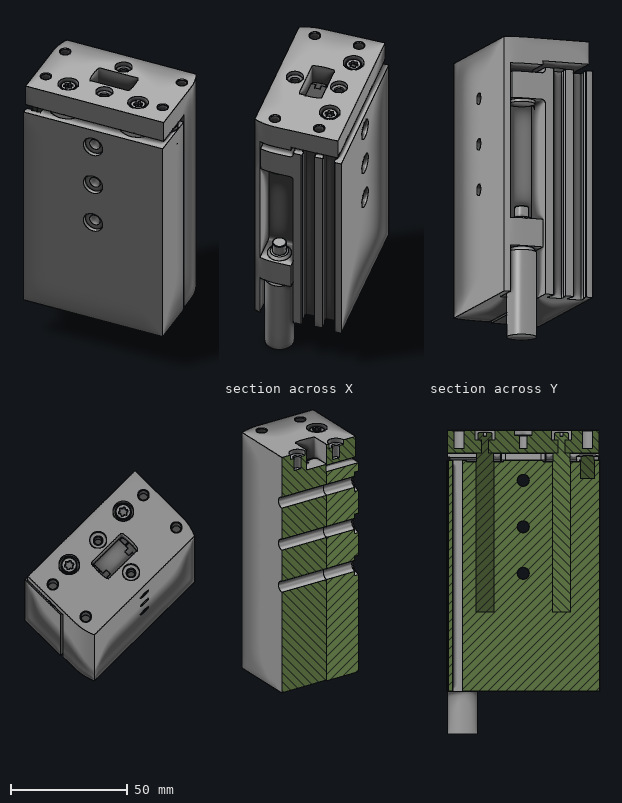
import cadquery as cq
import math

TOP = 130.8
HOUSING_BOTTOM = 18.3
HOUSING_TOP = 118.0
SLIDE_BOTTOM = 18.7
END_PLATE_THICKNESS = 10.0
END_PLATE_BOTTOM = TOP - END_PLATE_THICKNESS

HOUSING_HALF_WIDTH = 33.0
HOUSING_DEPTH = 21.9

SLOT_FRONTS = (3.3, 12.4)
SLOT_MOUTH = 5.4
SLOT_DEPTH = 6.8
SLOT_LIP = 2.6
SLOT_UNDERCUT = 0.5
SLOT_CHAMFER = 0.4
MIDDLE_FIN_INSET = 0.7

MOUNT_HOLE_DIAMETER = 5.0
MOUNT_SINK_DIAMETER = 9.0
MOUNT_SINK_DEPTH = 2.0
MOUNT_HOLE_PITCH = 20.0
TOP_MOUNT_HOLE_Z = 109.3
MOUNT_HOLE_COUNT = 3
MOUNT_HOLE_CENTRES = [(0, TOP_MOUNT_HOLE_Z - i * MOUNT_HOLE_PITCH) for i in range(MOUNT_HOLE_COUNT)]

SLIDE_HALF_WIDTH = 32.7
SLIDE_BACK = 40.0
BACK_HALF_WIDTH = 30.6
SIDE_CURVE_START = 30.2
END_PLATE_FRONT = 1.6
WEB_FRONT = 22.9
BACK_PLATE_FRONT = 37.3
POCKET_FLOOR_X = -19.0
POCKET_FILLET = 2.1
POCKET_TOP = 119.2
DAMPER_LUG_TOP = 51.2
DAMPER_LUG_BOTTOM = 39.0

RAIL_FRONT = 16.7
RAIL_BACK = 27.0
RAIL_END_HALF_WIDTH = 9.3
RAIL_BULGE_HALF_WIDTH = 9.8
RAIL_CORE_HALF_WIDTH = 7.7
RAIL_CORE_RISE = 0.7
RAIL_NOTCH_INNER_X = 5.6
RAIL_NOTCH_FRONT = 22.4
RAIL_NOTCH_BACK = 24.9
RAIL_SEAM_Y = 20.5
RAIL_SEAM_WIDTH = 0.5
RAIL_SEAM_DEPTH = 0.4
RAIL_SIDE_SETBACK = 0.4
RAIL_CORNER_RADIUS = 0.9

CORNER_HOLE_X = 27.6
HOLE_ROW_FRONT = 11.8
HOLE_ROW_BACK = 31.8
CORNER_HOLE_DIAMETER = 4.2
CORNER_HOLE_MOUTH = 5.0
CORNER_HOLE_DEPTH = 7.9
CENTRE_SINK_DIAMETER = 7.3
CENTRE_SINK_DEPTH = 2.1
CENTRE_HOLE_MOUTH = 4.2
CENTRE_HOLE_DIAMETER = 3.3
CENTRE_HOLE_DEPTH = 7.9

ROD_X = 16.5
ROD_Y = 10.6
ROD_DIAMETER = 8.1
ROD_LENGTH_IN_HOUSING = 65.4
ROD_BOTTOM = HOUSING_TOP - ROD_LENGTH_IN_HOUSING
ROD_SHANK_DIAMETER = 4.2
ROD_RECESS_DIAMETER = 16.0
ROD_RECESS_DEPTH = 0.7
SCREW_SINK_DIAMETER = 8.9
SCREW_SINK_DEPTH = 4.2
SCREW_HEAD_DIAMETER = 7.0
SCREW_HEAD_HEIGHT = 3.3
SCREW_HEAD_CHAMFER = 0.4
SOCKET_DIAMETER = 3.0
SOCKET_LOBES = 6
SOCKET_LOBE_DIAMETER = 1.0
SOCKET_DEPTH = 1.6

DAMPER_X = -26.2
DAMPER_Y = SIDE_CURVE_START
DAMPER_DIAMETER = 13.0
DAMPER_SHOULDER_Z = 37.3
DAMPER_NECK_DIAMETER = 10.5
DAMPER_COLLAR_TOP_DIAMETER = 8.0
DAMPER_COLLAR_HEIGHT = 1.2
DAMPER_PIN_DIAMETER = 6.0
DAMPER_PIN_TOP = 57.3
DAMPER_PIN_CHAMFER = 0.3
STOP_LUG_TOP = 115.5
STOP_LUG_BOTTOM = 103.9
STOP_LUG_BACK = 36.9
STOP_LUG_INNER_X = -19.6
STOP_LUG_FILLET = 1.7
STOP_PAD_DIAMETER = 11.6
STOP_PAD_HEIGHT = 1.3

BUFFER_X = 27.7
BUFFER_Y = 16.0
BUFFER_DIAMETER = 9.5
BUFFER_TIP_DIAMETER = 7.0
BUFFER_SHOULDER_Z = 119.6
BUFFER_TIP_Z = 120.1
BUFFER_SEAT_DEPTH = 7.9
BUFFER_BOTTOM = HOUSING_TOP - BUFFER_SEAT_DEPTH


def box(x_range, y_range, z_range):
    """Box between two X values, two Y values and two Z values."""
    size = [high - low for low, high in (x_range, y_range, z_range)]
    corner = (x_range[0], y_range[0], z_range[0])
    return cq.Workplane("XY").box(*size, centered=False).translate(corner)


def cylinder(x, y, diameter, bottom, top):
    """Upright cylinder between two levels."""
    return cq.Workplane("XY", origin=(x, y, bottom)).circle(diameter / 2).extrude(top - bottom)


def cone(x, y, bottom_diameter, top_diameter, bottom, top):
    """Upright truncated cone between two levels."""
    solid = cq.Solid.makeCone(
        bottom_diameter / 2, top_diameter / 2, top - bottom, cq.Vector(x, y, bottom), cq.Vector(0, 0, 1)
    )
    return cq.Workplane(obj=solid)


def curved_side_x(y, half_width):
    """Half width, at depth y, of the sides that curve inward toward the back."""
    run = SLIDE_BACK - SIDE_CURVE_START
    rise = SLIDE_HALF_WIDTH - BACK_HALF_WIDTH
    radius = (run**2 + rise**2) / (2 * rise)
    return half_width - radius + math.sqrt(radius**2 - (y - SIDE_CURVE_START) ** 2)


def rail_outline(bottom, top):
    """Prism with the rail outline: flat front and back, bulged ends, rounded corners."""
    middle_y = (RAIL_FRONT + RAIL_BACK) / 2
    return (
        cq.Workplane("XY", origin=(0, 0, bottom))
        .moveTo(-RAIL_END_HALF_WIDTH, RAIL_FRONT)
        .lineTo(RAIL_END_HALF_WIDTH, RAIL_FRONT)
        .threePointArc((RAIL_BULGE_HALF_WIDTH, middle_y), (RAIL_END_HALF_WIDTH, RAIL_BACK))
        .lineTo(-RAIL_END_HALF_WIDTH, RAIL_BACK)
        .threePointArc((-RAIL_BULGE_HALF_WIDTH, middle_y), (-RAIL_END_HALF_WIDTH, RAIL_FRONT))
        .close()
        .extrude(top - bottom)
        .edges("|Z")
        .fillet(RAIL_CORNER_RADIUS)
    )


def mounting_holes(front, back):
    """Row of horizontal holes along Y for the mounting screws."""
    holes = cq.Workplane("XZ", origin=(0, front, 0)).pushPoints(MOUNT_HOLE_CENTRES)
    return holes.circle(MOUNT_HOLE_DIAMETER / 2).extrude(front - back)


def mounting_sinks():
    """Counterbores of the mounting holes in the front face."""
    sinks = cq.Workplane("XZ").pushPoints(MOUNT_HOLE_CENTRES)
    return sinks.circle(MOUNT_SINK_DIAMETER / 2).extrude(-MOUNT_SINK_DEPTH)


def sensor_slot(front):
    """T-slot along Z in the left side, with a chamfered mouth."""
    back = front + SLOT_MOUTH
    side = -HOUSING_HALF_WIDTH
    lip = side + SLOT_LIP
    floor = side + SLOT_DEPTH
    return (
        cq.Workplane("XY", origin=(0, 0, HOUSING_BOTTOM))
        .polyline(
            [
                (side, front - SLOT_CHAMFER),
                (side + SLOT_CHAMFER, front),
                (lip, front),
                (lip, front - SLOT_UNDERCUT),
                (floor, front - SLOT_UNDERCUT),
                (floor, back + SLOT_UNDERCUT),
                (lip, back + SLOT_UNDERCUT),
                (lip, back),
                (side + SLOT_CHAMFER, back),
                (side, back + SLOT_CHAMFER),
            ]
        )
        .close()
        .extrude(HOUSING_TOP - HOUSING_BOTTOM)
    )


def stop_lug():
    """Lug behind the housing block, with filleted roots and a round pad underneath."""
    flare = STOP_LUG_FILLET
    root = HOUSING_DEPTH
    profile = (
        cq.Workplane("YZ", origin=(-HOUSING_HALF_WIDTH, 0, 0))
        .moveTo(root, STOP_LUG_BOTTOM - flare)
        .radiusArc((root + flare, STOP_LUG_BOTTOM), flare)
        .lineTo(STOP_LUG_BACK, STOP_LUG_BOTTOM)
        .lineTo(STOP_LUG_BACK, STOP_LUG_TOP)
        .lineTo(root + flare, STOP_LUG_TOP)
        .radiusArc((root, STOP_LUG_TOP + flare), flare)
        .close()
        .extrude(HOUSING_HALF_WIDTH + STOP_LUG_INNER_X)
    )
    middle_y = (SIDE_CURVE_START + STOP_LUG_BACK) / 2
    plan = (
        cq.Workplane("XY", origin=(0, 0, HOUSING_BOTTOM))
        .moveTo(STOP_LUG_INNER_X, root)
        .lineTo(-HOUSING_HALF_WIDTH, root)
        .lineTo(-HOUSING_HALF_WIDTH, SIDE_CURVE_START)
        .threePointArc(
            (-curved_side_x(middle_y, HOUSING_HALF_WIDTH), middle_y),
            (-curved_side_x(STOP_LUG_BACK, HOUSING_HALF_WIDTH), STOP_LUG_BACK),
        )
        .lineTo(STOP_LUG_INNER_X, STOP_LUG_BACK)
        .close()
        .extrude(HOUSING_TOP - HOUSING_BOTTOM)
    )
    pad_bottom = STOP_LUG_BOTTOM - STOP_PAD_HEIGHT
    pad = cylinder(DAMPER_X, DAMPER_Y, STOP_PAD_DIAMETER, pad_bottom, STOP_LUG_BOTTOM)
    return profile.intersect(plan).union(pad)


def make_housing():
    height = (HOUSING_BOTTOM, HOUSING_TOP)
    body = box((-HOUSING_HALF_WIDTH, HOUSING_HALF_WIDTH), (0, HOUSING_DEPTH), height)
    body = body.union(stop_lug())

    for front in SLOT_FRONTS:
        body = body.cut(sensor_slot(front))
    fin_outer = (-HOUSING_HALF_WIDTH, -HOUSING_HALF_WIDTH + MIDDLE_FIN_INSET)
    body = body.cut(box(fin_outer, (SLOT_FRONTS[0], SLOT_FRONTS[1] + SLOT_MOUTH), height))

    body = body.cut(rail_outline(HOUSING_BOTTOM, HOUSING_TOP))
    body = body.cut(mounting_holes(0, HOUSING_DEPTH)).cut(mounting_sinks())

    for x in (-ROD_X, ROD_X):
        body = body.cut(cylinder(x, ROD_Y, ROD_DIAMETER, ROD_BOTTOM, HOUSING_TOP))
        recess_floor = HOUSING_TOP - ROD_RECESS_DEPTH
        body = body.cut(cylinder(x, ROD_Y, ROD_RECESS_DIAMETER, recess_floor, HOUSING_TOP))
    return body.cut(cylinder(BUFFER_X, BUFFER_Y, BUFFER_DIAMETER, BUFFER_BOTTOM, HOUSING_TOP))


def slide_block():
    """End plate and back block in one, with sides that curve inward toward the back."""
    middle_y = (SIDE_CURVE_START + SLIDE_BACK) / 2
    middle_x = curved_side_x(middle_y, SLIDE_HALF_WIDTH)
    block = (
        cq.Workplane("XY", origin=(0, 0, SLIDE_BOTTOM))
        .moveTo(-SLIDE_HALF_WIDTH, END_PLATE_FRONT)
        .lineTo(SLIDE_HALF_WIDTH, END_PLATE_FRONT)
        .lineTo(SLIDE_HALF_WIDTH, SIDE_CURVE_START)
        .threePointArc((middle_x, middle_y), (BACK_HALF_WIDTH, SLIDE_BACK))
        .lineTo(-BACK_HALF_WIDTH, SLIDE_BACK)
        .threePointArc((-middle_x, middle_y), (-SLIDE_HALF_WIDTH, SIDE_CURVE_START))
        .close()
        .extrude(TOP - SLIDE_BOTTOM)
    )
    below_end_plate = box(
        (-SLIDE_HALF_WIDTH, SLIDE_HALF_WIDTH), (END_PLATE_FRONT, WEB_FRONT), (SLIDE_BOTTOM, END_PLATE_BOTTOM)
    )
    return block.cut(below_end_plate)


def side_pocket(bottom, top, fillet_edges):
    """Pocket in the left side, with its inner corners rounded."""
    pocket = box((-HOUSING_HALF_WIDTH, POCKET_FLOOR_X), (WEB_FRONT, BACK_PLATE_FRONT), (bottom, top))
    return pocket.edges(fillet_edges).fillet(POCKET_FILLET)


def end_plate_holes():
    """Tapped corner holes and the two centre holes with their counterbores."""
    holes = cq.Workplane("XY")
    mouth_depth = (CORNER_HOLE_MOUTH - CORNER_HOLE_DIAMETER) / 2
    hole_floor = TOP - CORNER_HOLE_DEPTH
    centre_floor = TOP - CENTRE_SINK_DEPTH
    centre_mouth_depth = (CENTRE_HOLE_MOUTH - CENTRE_HOLE_DIAMETER) / 2
    for y in (HOLE_ROW_FRONT, HOLE_ROW_BACK):
        for x in (-CORNER_HOLE_X, CORNER_HOLE_X):
            holes = holes.add(cylinder(x, y, CORNER_HOLE_DIAMETER, hole_floor, TOP))
            holes = holes.add(cone(x, y, CORNER_HOLE_DIAMETER, CORNER_HOLE_MOUTH, TOP - mouth_depth, TOP))
        holes = holes.add(cylinder(0, y, CENTRE_SINK_DIAMETER, centre_floor, TOP))
        holes = holes.add(
            cone(0, y, CENTRE_HOLE_DIAMETER, CENTRE_HOLE_MOUTH, centre_floor - centre_mouth_depth, centre_floor)
        )
        holes = holes.add(cylinder(0, y, CENTRE_HOLE_DIAMETER, TOP - CENTRE_HOLE_DEPTH, centre_floor))
    return holes.vals()


def guide_rail():
    """Rail in front of the web: a raised core between two set-back sides with a seam on top."""
    core_top = END_PLATE_BOTTOM + RAIL_CORE_RISE
    rail = rail_outline(SLIDE_BOTTOM, END_PLATE_BOTTOM)
    core = box(
        (-RAIL_CORE_HALF_WIDTH, RAIL_CORE_HALF_WIDTH), (RAIL_FRONT, RAIL_BACK), (SLIDE_BOTTOM, core_top)
    )
    rail = rail.union(core)
    seam = (RAIL_SEAM_Y - RAIL_SEAM_WIDTH / 2, RAIL_SEAM_Y + RAIL_SEAM_WIDTH / 2)
    setback = (RAIL_FRONT, RAIL_FRONT + RAIL_SIDE_SETBACK)
    for side in (-1, 1):
        side_x = sorted((side * RAIL_CORE_HALF_WIDTH, side * RAIL_BULGE_HALF_WIDTH))
        rail = rail.cut(box(side_x, setback, (SLIDE_BOTTOM, END_PLATE_BOTTOM)))
        rail = rail.cut(box(side_x, seam, (END_PLATE_BOTTOM - RAIL_SEAM_DEPTH, END_PLATE_BOTTOM)))
    return rail


def rail_notch(side):
    """Notch in the raised rail core, down to the level of the rail sides."""
    notch_x = sorted((side * RAIL_NOTCH_INNER_X, side * RAIL_CORE_HALF_WIDTH))
    top = END_PLATE_BOTTOM + RAIL_CORE_RISE
    return box(notch_x, (RAIL_NOTCH_FRONT, RAIL_NOTCH_BACK), (END_PLATE_BOTTOM, top))


def make_slide():
    body = slide_block()
    body = body.cut(side_pocket(DAMPER_LUG_TOP, POCKET_TOP, ">X and |Y"))
    body = body.cut(side_pocket(SLIDE_BOTTOM, DAMPER_LUG_BOTTOM, ">X and >Z"))
    body = body.cut(rail_outline(END_PLATE_BOTTOM, TOP)).union(guide_rail())
    for side in (-1, 1):
        body = body.cut(rail_notch(side))

    for hole in end_plate_holes():
        body = body.cut(cq.Workplane(obj=hole))
    body = body.cut(mounting_holes(RAIL_FRONT, SLIDE_BACK))
    for x in (-ROD_X, ROD_X):
        body = body.cut(cylinder(x, ROD_Y, ROD_SHANK_DIAMETER, END_PLATE_BOTTOM, TOP))
        body = body.cut(cylinder(x, ROD_Y, SCREW_SINK_DIAMETER, TOP - SCREW_SINK_DEPTH, TOP))
    return body.cut(make_damper())


def make_rod(x):
    """Piston rod below the end plate, shank through it and screw head in its counterbore."""
    head_seat = TOP - SCREW_SINK_DEPTH
    head_top = head_seat + SCREW_HEAD_HEIGHT
    head = cylinder(x, ROD_Y, SCREW_HEAD_DIAMETER, head_seat, head_top)
    head = head.faces(">Z").edges().chamfer(SCREW_HEAD_CHAMFER)
    socket_floor = head_top - SOCKET_DEPTH
    head = head.cut(cylinder(x, ROD_Y, SOCKET_DIAMETER, socket_floor, head_top))
    for i in range(SOCKET_LOBES):
        angle = 2 * math.pi * i / SOCKET_LOBES + math.pi / 2
        lobe_x = x + SOCKET_DIAMETER / 2 * math.cos(angle)
        lobe_y = ROD_Y + SOCKET_DIAMETER / 2 * math.sin(angle)
        head = head.cut(cylinder(lobe_x, lobe_y, SOCKET_LOBE_DIAMETER, socket_floor, head_top))

    rod = cylinder(x, ROD_Y, ROD_DIAMETER, ROD_BOTTOM, END_PLATE_BOTTOM)
    shank = cylinder(x, ROD_Y, ROD_SHANK_DIAMETER, END_PLATE_BOTTOM, head_seat)
    return rod.union(shank).union(head)


def make_damper():
    """Shock absorber: barrel, tapered shoulder, neck through the lug, collar and pin."""
    collar_top = DAMPER_LUG_TOP + DAMPER_COLLAR_HEIGHT
    barrel = cylinder(DAMPER_X, DAMPER_Y, DAMPER_DIAMETER, 0, DAMPER_SHOULDER_Z)
    shoulder = cone(
        DAMPER_X, DAMPER_Y, DAMPER_DIAMETER, DAMPER_NECK_DIAMETER, DAMPER_SHOULDER_Z, DAMPER_LUG_BOTTOM
    )
    neck = cylinder(DAMPER_X, DAMPER_Y, DAMPER_NECK_DIAMETER, DAMPER_LUG_BOTTOM, DAMPER_LUG_TOP)
    collar = cone(
        DAMPER_X, DAMPER_Y, DAMPER_NECK_DIAMETER, DAMPER_COLLAR_TOP_DIAMETER, DAMPER_LUG_TOP, collar_top
    )
    pin = cylinder(DAMPER_X, DAMPER_Y, DAMPER_PIN_DIAMETER, collar_top, DAMPER_PIN_TOP)
    pin = pin.faces(">Z").edges().chamfer(DAMPER_PIN_CHAMFER)
    return barrel.union(shoulder).union(neck).union(collar).union(pin)


def make_buffer():
    """Round buffer seated in the housing top, with a tapered tip."""
    post = cylinder(BUFFER_X, BUFFER_Y, BUFFER_DIAMETER, BUFFER_BOTTOM, BUFFER_SHOULDER_Z)
    tip = cone(BUFFER_X, BUFFER_Y, BUFFER_DIAMETER, BUFFER_TIP_DIAMETER, BUFFER_SHOULDER_Z, BUFFER_TIP_Z)
    return post.union(tip)


housing = make_housing()
slide = make_slide()
rods = [make_rod(x) for x in (-ROD_X, ROD_X)]
damper = make_damper()
buffer = make_buffer()

result = cq.Compound.makeCompound(
    [housing.val(), slide.val(), *[rod.val() for rod in rods], damper.val(), buffer.val()]
)